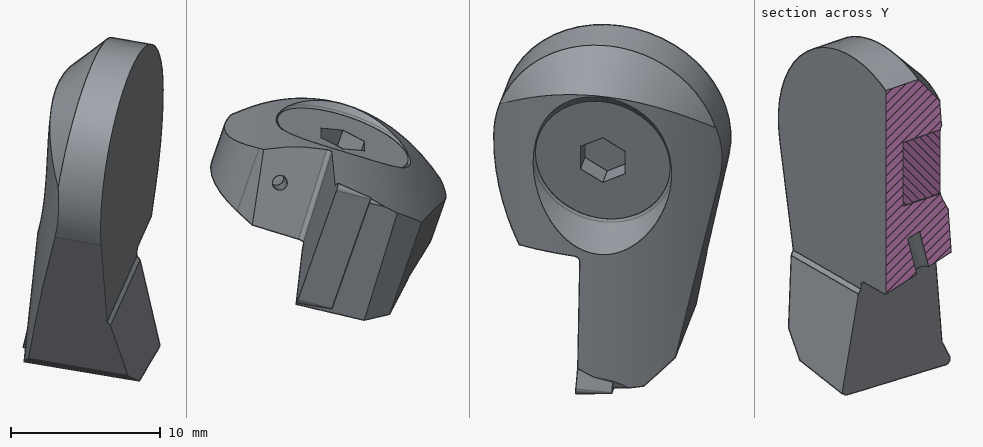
import cadquery as cq
import math


head_width = 15.6
head_radius = head_width / 2
shoulder_radius = 13.15
shoulder_slope = 31.0
shoulder_bottom = -11.15
outline_bottom = -18.6
flank_angle = 11.0
corner_cut_z = -14.23
front_limit = -9.92
rear_limit = 2.48

face_radius = 12.9
face_crest_x = -5.6
face_tilt = 4.9

bevel_center_z = -0.6
bevel_edge_x = -2.68
bevel_overrun = 1.25

step_z = -9.17
step_depth = 0.22
step_height = 0.3
rear_x = 1.54
rear_bottom_z = -16.11

rake_y = 1.26
shelf_z = -8.53
shelf_tilt = 15.0
shelf_fillet = 0.35
coolant_diameter = 1.0
coolant_depth = 2.97
coolant_y = 3.95
coolant_x = -3.15

end_z = -16.39
end_slope_y = 7.0
end_slope_x = 1.9
undercut_top = (-7.05, -15.3)
undercut_bottom = (-6.75, -16.65)
tip_thickness = 2.4
tip_relief = 7.0
tip_corner = 0.37
tip_low_z = -17.0
tip_left_x = -7.75
tip_right_x = 1.54
tip_root_z = -15.12
tip_root_x = -6.82

screw_diameter = 9.2
screw_face_x = -4.64
screw_length = 3.12
hex_flats = 3.05
hex_depth = 1.49
seat_radius = 4.78
seat_x = -4.75
leadin_front_x = -7.93
leadin_ratio = 1.22

stock_length = 49.58


def make_outline():
    """Head, shoulder and leg as a prism along X."""
    slope = math.radians(shoulder_slope)
    flank = math.radians(flank_angle)
    shoulder_y = head_radius - shoulder_radius

    def on_shoulder(angle):
        return shoulder_y + shoulder_radius * math.cos(angle), -shoulder_radius * math.sin(angle)

    shoulder_end = on_shoulder(slope)
    straight_y = shoulder_end[0] + (shoulder_bottom - shoulder_end[1]) * math.tan(slope)
    flank_start = (-head_radius * math.cos(flank), -head_radius * math.sin(flank))
    cut_y = flank_start[0] + (flank_start[1] - corner_cut_z) * math.tan(flank)
    return (
        cq.Workplane("YZ", origin=(front_limit, 0, 0))
        .moveTo(head_radius, 0)
        .threePointArc(on_shoulder(slope / 2), shoulder_end)
        .lineTo(straight_y, shoulder_bottom)
        .lineTo(straight_y, outline_bottom)
        .lineTo(cut_y + corner_cut_z - outline_bottom, outline_bottom)
        .lineTo(cut_y, corner_cut_z)
        .lineTo(*flank_start)
        .threePointArc((0, head_radius), (head_radius, 0))
        .close()
        .extrude(rear_limit - front_limit)
    )


def make_front_face():
    """Tilted cylinder that gives the convex front face."""
    axis_x = face_crest_x + face_radius / math.cos(math.radians(face_tilt))
    return (
        cq.Workplane("XY", origin=(axis_x, 0, -stock_length / 2))
        .circle(face_radius)
        .extrude(stock_length)
        .rotate((axis_x, 0, 0), (axis_x, 1, 0), face_tilt)
    )


def make_bevel_cutter():
    """Everything in front of the 45 degree cone, above the screw axis."""
    edge_radius = head_radius - bevel_center_z
    front_radius = edge_radius - (bevel_edge_x - front_limit)
    outer_radius = edge_radius + bevel_overrun
    return (
        cq.Workplane("XZ")
        .polyline([(front_limit, front_radius), (bevel_edge_x + bevel_overrun, outer_radius),
                   (front_limit, outer_radius)])
        .close()
        .revolve(360, (0, 0, 0), (1, 0, 0))
        .translate((0, 0, bevel_center_z))
        .intersect(cq.Workplane("XY").box(stock_length, stock_length, stock_length,
                                          centered=(True, True, False)))
    )


def make_rear_profile():
    """Flat rear of the head, with the leg flaring backwards below the step."""
    flare = (rear_x - step_depth) / (step_z - step_height - rear_bottom_z)
    bottom_x = rear_x + flare * (rear_bottom_z - outline_bottom)
    return (
        cq.Workplane("XZ")
        .polyline([(front_limit, head_radius), (0, head_radius), (0, step_z),
                   (step_depth, step_z - step_height), (bottom_x, outline_bottom),
                   (front_limit, outline_bottom)])
        .close()
        .extrude(stock_length / 2, both=True)
    )


def make_chip_space():
    """Notch beside the leg, its roof rising towards the front."""
    return (
        cq.Workplane("XY", origin=(0, rake_y, shelf_z))
        .box(stock_length, stock_length, stock_length, centered=(True, False, False))
        .translate((0, 0, -stock_length))
        .edges("|X and >Z and <Y")
        .fillet(shelf_fillet)
        .rotate((0, 0, shelf_z), (0, 1, shelf_z), shelf_tilt)
    )


def make_coolant_hole():
    """Blind hole square to the roof of the chip space."""
    tilt = math.radians(shelf_tilt)
    start = (coolant_x, coolant_y, shelf_z - coolant_x * math.tan(tilt))
    direction = (math.sin(tilt), 0, math.cos(tilt))
    plane = cq.Plane(origin=start, xDir=(0, 1, 0), normal=direction)
    return cq.Workplane(plane).circle(coolant_diameter / 2).extrude(coolant_depth)


def make_end_cutter():
    """Space below the end face of the leg, which slopes along X and Y."""
    return (
        cq.Workplane("XY", origin=(0, 0, end_z - stock_length))
        .box(stock_length, stock_length, stock_length, centered=(True, True, False))
        .rotate((0, 0, end_z), (1, 0, end_z), -end_slope_y)
        .rotate((0, 0, end_z), (0, 1, end_z), -end_slope_x)
    )


def make_undercut():
    """Wedge that trims the lower front edge of the leg beside the tip."""
    return (
        cq.Workplane("XZ")
        .polyline([undercut_top, undercut_bottom, (front_limit, undercut_bottom[1]),
                   (front_limit, undercut_top[1])])
        .close()
        .extrude(stock_length / 2, both=True)
    )


def make_tip():
    """Cutting tip with side and end relief behind the rake face."""
    rise = (tip_right_x - tip_left_x) * math.tan(math.radians(end_slope_x))
    low_left = (tip_left_x, tip_low_z)
    low_right = (tip_right_x, tip_low_z + rise)
    profile = (
        cq.Sketch()
        .polygon([low_left, low_right, (tip_right_x, rear_bottom_z),
                  (0, tip_root_z), (tip_root_x, tip_root_z), low_left])
        .vertices("<Z or (>X and <Z)")
        .fillet(tip_corner)
    )
    return (
        cq.Workplane("XZ", origin=(0, rake_y, 0))
        .placeSketch(profile)
        .extrude(tip_thickness, taper=tip_relief)
    )


def make_recess():
    """Conical lead-in, steep seat and bore for the screw, all round the X axis."""
    screw_radius = screw_diameter / 2
    leadin_radius = seat_radius + leadin_ratio * (seat_x - leadin_front_x)
    screw_end = screw_face_x + screw_length
    return (
        cq.Workplane("XZ")
        .polyline([(leadin_front_x, 0), (leadin_front_x, leadin_radius), (seat_x, seat_radius),
                   (screw_face_x, screw_radius), (screw_end, screw_radius), (screw_end, 0)])
        .close()
        .revolve(360, (0, 0, 0), (1, 0, 0))
    )


def make_cutting_head():
    leg = make_outline().intersect(make_front_face()).intersect(make_rear_profile())
    leg = leg.cut(make_bevel_cutter()).cut(make_chip_space()).cut(make_end_cutter())
    leg = leg.cut(make_undercut())
    return leg.union(make_tip()).cut(make_recess()).cut(make_coolant_hole())


def make_screw():
    hex_corners = hex_flats / math.cos(math.radians(30))
    head = (
        cq.Workplane("YZ", origin=(screw_face_x, 0, 0))
        .circle(screw_diameter / 2)
        .extrude(screw_length)
    )
    socket = (
        cq.Workplane("YZ", origin=(screw_face_x, 0, 0))
        .transformed(rotate=(0, 0, 90))
        .polygon(6, hex_corners)
        .extrude(hex_depth)
    )
    return head.cut(socket)


cutting_head = make_cutting_head()
screw = make_screw()

result = cq.Compound.makeCompound([cutting_head.val(), screw.val()])